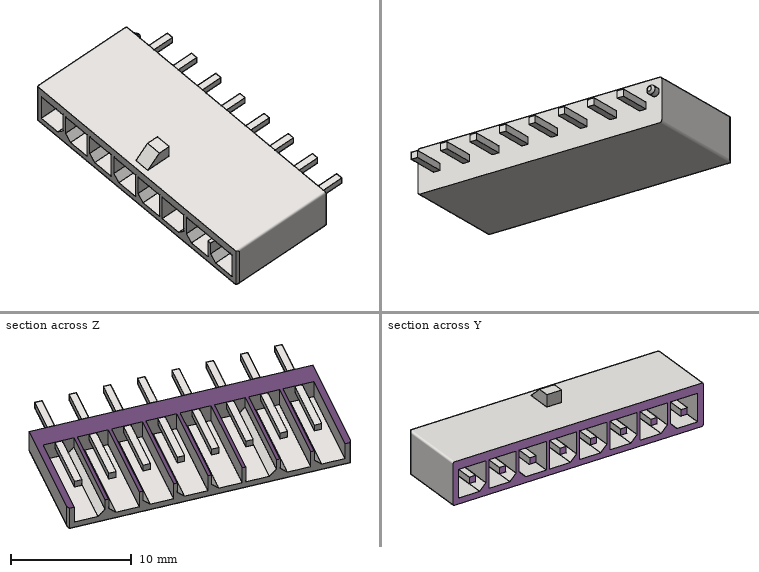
import cadquery as cq


body_length = 24.85
body_depth = 9.92
body_height = 4.15
edge_radius = 0.2
mouth_bevel_x = 0.15
mouth_bevel_y = 0.3

end_pin_span = 20.97
pin_size = 0.65
pin_height = 1.95
pin_recess = 2.98
total_depth = 13.1

key_sides = ["right", "left", "left", "left", "left", "right", "left", "left"]
cavity_size = 2.65
cavity_depth = 7.95
key_bevel = 0.62
notch_height = 0.72
notch_depth = 0.75

total_height = 5.32
latch_width = 1.47
latch_setback = 0.57
latch_length = 2.39
latch_flat = 1.1

peg_diameter = 0.82
peg_length = 0.85
peg_bevel_length = 0.25
peg_bevel_radial = 0.2
peg_x = -11.75
peg_z = 2.9

pin_count = len(key_sides)
pitch = end_pin_span / (pin_count - 1)
pin_places = [-end_pin_span / 2 + i * pitch for i in range(pin_count)]
half_length = body_length / 2
half_cavity = cavity_size / 2
cavity_top = pin_height + half_cavity


def box(x_min, y_min, z_min, length, depth, height):
    """Axis-aligned block placed by its lowest corner."""
    block = cq.Workplane("XY").box(length, depth, height, centered=False)
    return block.translate((x_min, y_min, z_min))


def make_housing():
    """Block with rounded long side edges and bevelled mouth corners."""
    mouth_half = half_length - mouth_bevel_x
    footprint = [
        (-mouth_half, 0),
        (mouth_half, 0),
        (half_length, mouth_bevel_y),
        (half_length, body_depth),
        (-half_length, body_depth),
        (-half_length, mouth_bevel_y),
    ]
    bar = box(-half_length, 0, 0, body_length, body_depth, body_height)
    bar = bar.edges("|Y").fillet(edge_radius)
    plan = cq.Workplane("XY").polyline(footprint).close().extrude(body_height)
    return bar.intersect(plan)


def make_cavity(x_center, key_side):
    """Square pocket with one lower corner bevelled as a key."""
    toward_key = 1 if key_side == "right" else -1
    key_x = x_center + toward_key * half_cavity
    plain_x = x_center - toward_key * half_cavity
    cavity_bottom = pin_height - half_cavity
    outline = [
        (plain_x, cavity_bottom),
        (key_x - toward_key * key_bevel, cavity_bottom),
        (key_x, cavity_bottom + key_bevel),
        (key_x, cavity_top),
        (plain_x, cavity_top),
    ]
    return cq.Workplane("XZ").polyline(outline).close().extrude(-cavity_depth)


def make_notch():
    """Opening through the top of the wall between the last two cavities."""
    return box(pin_places[-2], 0, cavity_top - notch_height, pitch, notch_depth, notch_height)


def make_pin(x_center):
    """Straight square contact from inside the cavity to the tail end."""
    return box(
        x_center - pin_size / 2,
        pin_recess,
        pin_height - pin_size / 2,
        pin_size,
        total_depth - pin_recess,
        pin_size,
    )


def make_latch():
    """Ramp that rises from the mouth side to a flat top."""
    latch_back = latch_setback + latch_length
    profile = [
        (latch_setback, body_height),
        (latch_back, body_height),
        (latch_back, total_height),
        (latch_back - latch_flat, total_height),
    ]
    return cq.Workplane("YZ").polyline(profile).close().extrude(latch_width / 2, both=True)


def make_peg():
    """Round peg with a bevelled tip."""
    peg_radius = peg_diameter / 2
    half_profile = [
        (0, 0),
        (peg_radius, 0),
        (peg_radius, peg_length - peg_bevel_length),
        (peg_radius - peg_bevel_radial, peg_length),
        (0, peg_length),
    ]
    peg = cq.Workplane("XY").polyline(half_profile).close().revolve(360, (0, 0, 0), (0, 1, 0))
    return peg.translate((peg_x, body_depth, peg_z))


result = make_housing()
for place, side in zip(pin_places, key_sides):
    result = result.cut(make_cavity(place, side))
result = result.cut(make_notch())
for place in pin_places:
    result = result.union(make_pin(place))
result = result.union(make_latch()).union(make_peg())